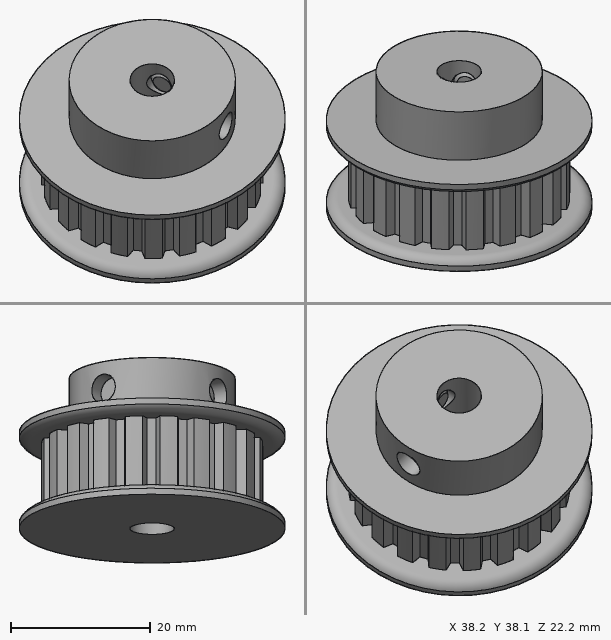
import cadquery as cq
import math

total_height = 22.23
pulley_height = 14.29
flange_thickness = 1.78

flange_diameter = 38.15
hub_diameter = 23.85
bore_diameter = 6.35

tooth_count = 20
belt_pitch = 5.08
pitch_line_offset = 0.254
groove_depth = 1.4
groove_floor_width = 1.24
groove_wall_angle = 25

flange_land_height = 0.89
flange_rim_width = 1.6

set_screw_diameter = 4.17
set_screw_length = 6.35
set_screw_tip_chamfer = 0.65
set_screw_angles = (0, 90)

flange_radius = flange_diameter / 2
rim_height = flange_thickness - flange_land_height
rim_arc_radius = (flange_rim_width ** 2 + rim_height ** 2) / (2 * rim_height)
tip_radius = tooth_count * belt_pitch / (2 * math.pi) - pitch_line_offset
root_radius = tip_radius - groove_depth
hub_height = total_height - pulley_height
set_screw_z = pulley_height + hub_height / 2


def disc(diameter, height, base_z):
    """Solid cylinder on the Z axis."""
    return cq.Workplane("XY").workplane(offset=base_z).circle(diameter / 2).extrude(height)


def bottom_flange():
    """Flange whose upper outer rim is rounded by an arc tangent to its flat face."""
    rim_inner_radius = flange_radius - flange_rim_width
    half_sweep = math.asin(flange_rim_width / rim_arc_radius) / 2
    rim_mid_point = (
        rim_inner_radius + rim_arc_radius * math.sin(half_sweep),
        flange_thickness - rim_arc_radius * (1 - math.cos(half_sweep)),
    )
    return (
        cq.Workplane("XZ")
        .lineTo(flange_radius, 0)
        .lineTo(flange_radius, flange_land_height)
        .threePointArc(rim_mid_point, (rim_inner_radius, flange_thickness))
        .lineTo(0, flange_thickness)
        .close()
        .revolve(360, (0, 0, 0), (0, 1, 0))
    )


def top_flange():
    """Mirror image of the bottom flange about the middle of the toothed band."""
    return bottom_flange().mirror("XY").translate((0, 0, pulley_height))


def toothed_band():
    """Cylinder between the flanges with trapezoidal belt grooves cut around it."""
    band_height = pulley_height - 2 * flange_thickness
    band = disc(2 * tip_radius, band_height, flange_thickness)
    cut_depth = 2 * groove_depth
    floor_half = groove_floor_width / 2
    mouth_half = floor_half + cut_depth * math.tan(math.radians(groove_wall_angle))
    cutter = (
        cq.Workplane("XY")
        .workplane(offset=flange_thickness)
        .polyline([
            (root_radius, -floor_half),
            (root_radius + cut_depth, -mouth_half),
            (root_radius + cut_depth, mouth_half),
            (root_radius, floor_half),
        ])
        .close()
        .extrude(band_height)
    )
    for index in range(tooth_count):
        band = band.cut(cutter.rotate((0, 0, 0), (0, 0, 1), index * 360 / tooth_count))
    return band


def set_screw_hole():
    """Hole along +X from the bore axis out through the hub wall."""
    return (
        cq.Workplane("YZ")
        .center(0, set_screw_z)
        .circle(set_screw_diameter / 2)
        .extrude(hub_diameter)
    )


def set_screw():
    """Screw filling the +X hole, with its chamfered tip at the bore surface."""
    return (
        cq.Workplane("YZ")
        .workplane(offset=bore_diameter / 2)
        .center(0, set_screw_z)
        .circle(set_screw_diameter / 2)
        .extrude(set_screw_length)
        .faces("<X")
        .chamfer(set_screw_tip_chamfer)
    )


body = bottom_flange().union(toothed_band()).union(top_flange())
body = body.union(disc(hub_diameter, hub_height, pulley_height))
body = body.cut(disc(bore_diameter, total_height, 0))

for angle in set_screw_angles:
    body = body.cut(set_screw_hole().rotate((0, 0, 0), (0, 0, 1), angle))
    body = body.union(set_screw().rotate((0, 0, 0), (0, 0, 1), angle))

result = body